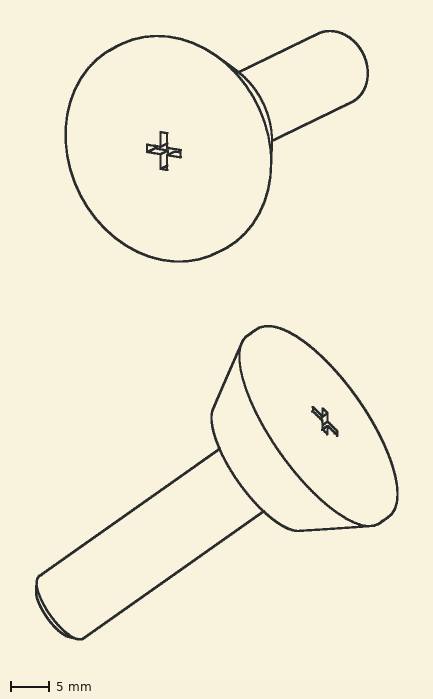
import cadquery as cq

total_length = 46.0

foot_diameter = 30.0
foot_height = 11.0
rim_height = 2.0
shoulder_diameter = 20.0
face_edge_radius = 0.5

stem_diameter = 10.0
tip_chamfer = 0.92

cross_length = 5.0
cross_width = 1.0
cross_depth = 2.0


def make_body():
    """Revolve the half profile of foot and stem about the Y axis."""
    foot_radius = foot_diameter / 2
    shoulder_radius = shoulder_diameter / 2
    stem_radius = stem_diameter / 2
    return (
        cq.Workplane("XY")
        .lineTo(foot_radius, 0)
        .lineTo(foot_radius, rim_height)
        .lineTo(shoulder_radius, foot_height)
        .lineTo(stem_radius, foot_height)
        .lineTo(stem_radius, total_length)
        .lineTo(0, total_length)
        .close()
        .revolve(360, (0, 0, 0), (0, 1, 0))
    )


def finish_edges(body):
    """Round the rim of the foot face and chamfer the stem tip."""
    rounded = body.faces("<Y").edges().fillet(face_edge_radius)
    return rounded.faces(">Y").edges().chamfer(tip_chamfer)


def make_cross():
    """Two crossing bars that reach from the foot face into the foot."""
    along_x = cq.Workplane("XY").box(cross_length, cross_depth, cross_width)
    along_z = cq.Workplane("XY").box(cross_width, cross_depth, cross_length)
    return along_x.union(along_z).translate((0, cross_depth / 2, 0))


result = finish_edges(make_body()).cut(make_cross())